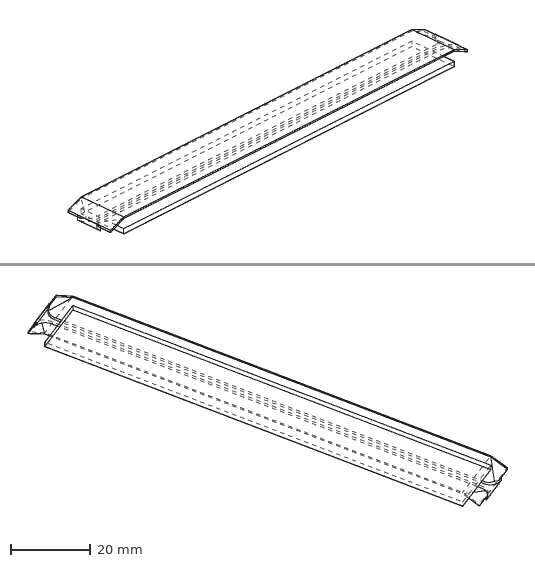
import cadquery as cq

length = 130.0
width = 15.0
height = 5.0

base_length = 120.1
base_height = 1.5

cap_length = 129.7
flat_length = base_length
skin = 0.45
tip_top = 3.0
tip_bottom = 2.3

tab_width = 8.2
flare_radius = 3.2
web_width = tab_width - 2 * flare_radius


def cap_line(tip_height, flat_height):
    """Line from end to end: level along the middle, sloping down to both tips."""
    return [
        (-cap_length / 2, tip_height),
        (-flat_length / 2, flat_height),
        (flat_length / 2, flat_height),
        (cap_length / 2, tip_height),
    ]


def lengthwise_prism(points):
    """Extrude a Y-Z outline across the full width."""
    return cq.Workplane("YZ").polyline(points).close().extrude(width / 2, both=True)


def block(size_x, size_y, bottom, top):
    """Box centred on X and Y between two heights."""
    return (
        cq.Workplane("XY", origin=(0, 0, bottom))
        .rect(size_x, size_y)
        .extrude(top - bottom)
    )


def make_skin():
    top = cap_line(tip_top, height)
    underside = cap_line(tip_bottom, height - skin)
    return lengthwise_prism(top + underside[::-1])


def make_wedge():
    """Core under the skin, with sides sloping in to the stem."""
    sides = (
        cq.Workplane("XZ")
        .polyline([
            (-web_width / 2, tip_bottom),
            (web_width / 2, tip_bottom),
            (width / 2, height - skin),
            (width / 2, height),
            (-width / 2, height),
            (-width / 2, height - skin),
        ])
        .close()
        .extrude(cap_length / 2, both=True)
    )
    below_skin = lengthwise_prism(cap_line(tip_bottom, height - skin))
    return sides.intersect(below_skin)


def make_stem():
    """Narrow web that flares through concave arcs to a wide flat tab at each end."""
    arc_y = length / 2 - flare_radius
    web = block(tab_width, length, base_height, tip_top)
    for side in (-1, 1):
        side_x = side * (web_width / 2 + flare_radius)
        hollow = block(2 * flare_radius, 2 * arc_y, base_height, tip_top).translate((side_x, 0, 0))
        web = web.cut(hollow)
        for end in (-1, 1):
            arc = (
                cq.Workplane("XY", origin=(side_x, end * arc_y, base_height))
                .circle(flare_radius)
                .extrude(tip_top - base_height)
            )
            web = web.cut(arc)
    return web


result = block(width, base_length, 0, base_height)
result = result.union(make_stem()).union(make_wedge()).union(make_skin()).clean()